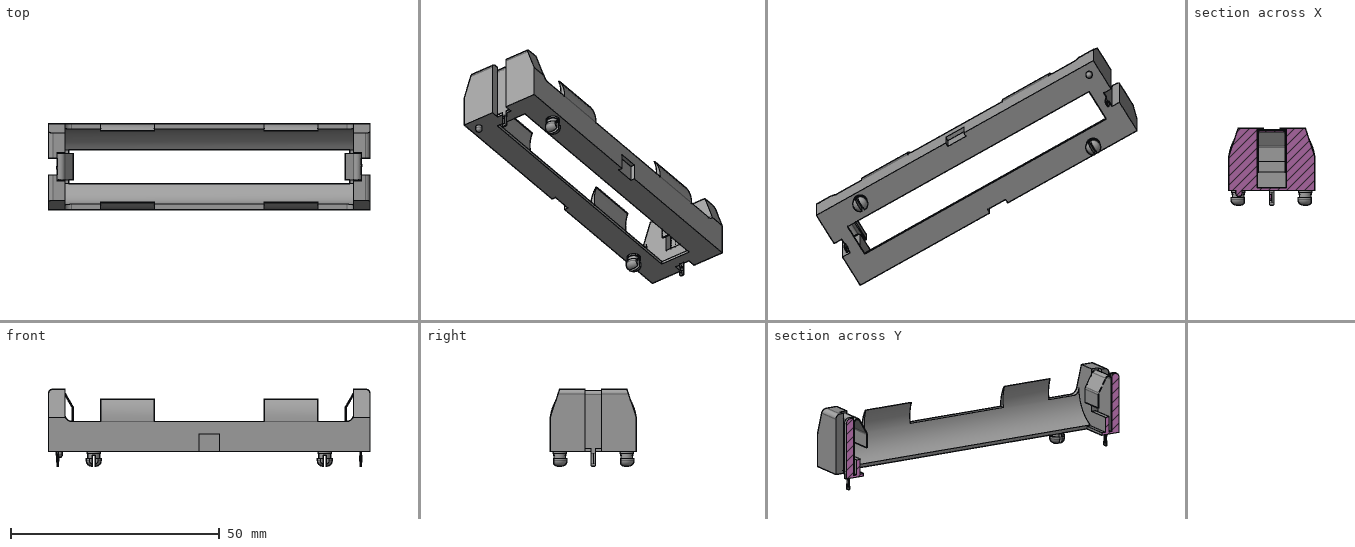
import cadquery as cq
import math


length = 77.05
width = 20.65
height = 14.95
half_length = length / 2
half_width = width / 2
rail_height = 7.25
post_depth = 4.0
post_face = half_length - post_depth
shoulder_height = 8.2
post_top_width = 16.1
post_top_radius = 1.15
rail_fillet = 1.55

cradle_radius = 9.2
cradle_axis_height = 9.1
floor_opening_width = 8.1
bridge_length = 0.9
floor_thickness = 0.7

tab_length = 12.9
tab_offset = 19.6
tab_top = 12.55
tab_outer_radius = 9.55

notch_length = 5.0
notch_height = 4.15
notch_depth = 1.0

slot_width = 3.9
slot_depth = 2.1
pocket_width = 6.85
lip_height = 4.4
lip_thickness = 1.15

peg_x = 27.65
peg_y = 8.0
overall_height = 18.5
peg_bottom = height - overall_height
collar_diameter = 3.3
collar_bottom = -0.5
shaft_diameter = 2.9
head_diameter = 3.6
head_top = -1.6
head_rounding = 1.4
peg_slot_width = 0.7
peg_slot_top = -0.9
nub_diameter = 1.55
nub_straight = 0.7
nub_x = -35.9
nub_y = 7.85

sheet = 0.3
contact_width = 6.3
contact_top = 14.65
roll_radius = 1.0
fold_radius = 0.9
lean = math.radians(30)
leg_reach = 6.0
leg_bottom = 6.9
pin_width = 1.15
pin_corner = 0.2
bow_top = -0.5
bow_bottom = -2.9
bow = 0.15


def box(x_min, x_max, y_min, y_max, z_min, z_max):
    """Box between the given limits."""
    size = (x_max - x_min, y_max - y_min, z_max - z_min)
    return cq.Workplane("XY").box(*size, centered=False).translate((x_min, y_min, z_min))


def both_sides(shape, plane):
    """A shape together with its mirror image."""
    return shape.union(shape.mirror(plane))


def on_circle(center, radius, angle):
    """Point on a circle at an angle from the first sketch axis."""
    return (center[0] + radius * math.cos(angle), center[1] + radius * math.sin(angle))


def shell_block():
    """Low rails joined to two end posts, with leaning post sides and rounded edges."""
    side_profile = (
        cq.Workplane("XZ")
        .moveTo(-half_length, 0)
        .lineTo(half_length, 0)
        .lineTo(half_length, height)
        .lineTo(post_face, height)
        .lineTo(post_face, rail_height)
        .lineTo(-post_face, rail_height)
        .lineTo(-post_face, height)
        .lineTo(-half_length, height)
        .close()
        .extrude(half_width, both=True)
    )
    rail_corners = cq.selectors.BoxSelector(
        (-half_length, -width, rail_height / 2), (half_length, width, shoulder_height)
    )
    block = side_profile.edges("|Y").edges(rail_corners).fillet(rail_fillet)
    block = block.faces(">Z").edges("<X or >X").fillet(post_top_radius)
    end_profile = (
        cq.Workplane("YZ")
        .moveTo(-half_width, 0)
        .lineTo(half_width, 0)
        .lineTo(half_width, shoulder_height)
        .lineTo(post_top_width / 2, height)
        .lineTo(-post_top_width / 2, height)
        .lineTo(-half_width, shoulder_height)
        .close()
        .extrude(half_length, both=True)
    )
    return block.intersect(end_profile)


def tabs():
    """Four curved tabs on the rails; the cradle cut later gives them their inner face."""
    arc_center = (half_width - tab_outer_radius, rail_height)
    tip_angle = math.asin((tab_top - rail_height) / tab_outer_radius)
    tab = (
        cq.Workplane("YZ")
        .moveTo(0, rail_height)
        .lineTo(half_width, rail_height)
        .threePointArc(
            on_circle(arc_center, tab_outer_radius, tip_angle / 2),
            on_circle(arc_center, tab_outer_radius, tip_angle),
        )
        .lineTo(0, tab_top)
        .close()
        .extrude(tab_length / 2, both=True)
        .translate((tab_offset, 0, 0))
    )
    return both_sides(both_sides(tab, "XZ"), "YZ")


def cradle_cutter():
    """Round trough for the cell, and the long opening through the floor."""
    trough = (
        cq.Workplane("YZ")
        .center(0, cradle_axis_height)
        .circle(cradle_radius)
        .extrude(post_face, both=True)
    )
    half_opening = floor_opening_width / 2
    opening = box(-post_face, post_face, -half_opening, half_opening, 0, rail_height)
    return trough.union(opening)


def end_bridges():
    """Strips of flat floor at both ends of the opening."""
    half_opening = floor_opening_width / 2
    bridge = box(post_face - bridge_length, post_face, -half_opening, half_opening, 0, floor_thickness)
    return both_sides(bridge, "YZ")


def contact_seat_cutter():
    """Outer slot, contact pocket behind a low lip, and pin passage, in both posts."""
    seat_face = half_length - slot_depth
    slot = box(seat_face, half_length, -slot_width / 2, slot_width / 2, 0, height)
    half_pocket = pocket_width / 2
    pocket = box(post_face + lip_thickness, seat_face, -half_pocket, half_pocket, floor_thickness, height)
    above_lip = box(post_face, seat_face, -half_pocket, half_pocket, lip_height, height)
    passage = box(seat_face - sheet, seat_face, -pin_width / 2, pin_width / 2, 0, floor_thickness)
    return both_sides(slot.union(pocket).union(above_lip).union(passage), "YZ")


def notch_cutter():
    """Shallow notch at the foot of each long side."""
    notch = box(
        -notch_length / 2, notch_length / 2, -half_width, notch_depth - half_width, 0, notch_height
    )
    return both_sides(notch, "XZ")


def snap_peg(x, y):
    """Collar, shaft and rounded head, split by a slot and flattened on the -Y side."""
    collar = cq.Workplane("XY").circle(collar_diameter / 2).extrude(collar_bottom)
    shaft = cq.Workplane("XY").circle(shaft_diameter / 2).extrude(head_top)
    head = (
        cq.Workplane("XY", origin=(0, 0, head_top))
        .circle(head_diameter / 2)
        .extrude(peg_bottom - head_top)
        .faces("<Z")
        .edges()
        .fillet(head_rounding)
    )
    flat = box(
        -head_diameter, head_diameter, -head_diameter, -shaft_diameter / 2, peg_bottom, head_top
    )
    split = box(
        -peg_slot_width / 2, peg_slot_width / 2, -head_diameter, head_diameter, peg_bottom, peg_slot_top
    )
    return collar.union(shaft).union(head.cut(flat)).cut(split).translate((x, y, 0))


def polarity_nub():
    """Short round-ended nub near one corner."""
    radius = nub_diameter / 2
    stem = cq.Workplane("XY").circle(radius).extrude(-nub_straight)
    tip = cq.Workplane("XY").sphere(radius).translate((0, 0, -nub_straight))
    tip = tip.intersect(box(-radius, radius, -radius, radius, -nub_straight - radius, -nub_straight))
    return stem.union(tip).translate((nub_x, nub_y, 0))


def make_housing():
    """Complete housing as one solid."""
    housing = shell_block().union(tabs()).cut(cradle_cutter()).union(end_bridges())
    housing = housing.cut(contact_seat_cutter()).cut(notch_cutter())
    for x, y in ((-peg_x, -peg_y), (peg_x, peg_y)):
        housing = housing.union(snap_peg(x, y))
    return housing.union(polarity_nub())


def spring_strip(plate_x):
    """Upright plate that rolls over at the top into a leaning spring and an upright leg."""
    leg_x = leg_reach - half_length
    roll = (plate_x + roll_radius, contact_top - roll_radius)
    fold_x = leg_x - fold_radius
    fold_z = roll[1] + (
        roll_radius - fold_radius - math.cos(lean) * (fold_x - roll[0])
    ) / math.sin(lean)
    fold = (fold_x, fold_z)
    roll_mid = (lean + math.pi) / 2
    inner_roll = roll_radius - sheet
    inner_fold = fold_radius - sheet
    return (
        cq.Workplane("XZ")
        .moveTo(plate_x, floor_thickness)
        .lineTo(plate_x, roll[1])
        .threePointArc(on_circle(roll, roll_radius, roll_mid), on_circle(roll, roll_radius, lean))
        .lineTo(*on_circle(fold, fold_radius, lean))
        .threePointArc(on_circle(fold, fold_radius, lean / 2), (leg_x, fold_z))
        .lineTo(leg_x, leg_bottom)
        .lineTo(leg_x - sheet, leg_bottom)
        .lineTo(leg_x - sheet, fold_z)
        .threePointArc(on_circle(fold, inner_fold, lean / 2), on_circle(fold, inner_fold, lean))
        .lineTo(*on_circle(roll, inner_roll, lean))
        .threePointArc(on_circle(roll, inner_roll, roll_mid), (plate_x + sheet, roll[1]))
        .lineTo(plate_x + sheet, floor_thickness)
        .close()
        .extrude(contact_width / 2, both=True)
    )


def bowed_half(plate_x, side):
    """One half of the split pin, on the given side in Y and bowed the same way in X."""
    bow_middle = (bow_top + bow_bottom) / 2
    return (
        cq.Workplane("XZ")
        .moveTo(plate_x, bow_top)
        .threePointArc((plate_x + side * bow, bow_middle), (plate_x, bow_bottom))
        .lineTo(plate_x + sheet, bow_bottom)
        .threePointArc((plate_x + sheet + side * bow, bow_middle), (plate_x + sheet, bow_top))
        .close()
        .extrude(-side * pin_width / 2)
    )


def solder_pin(plate_x):
    """Straight pin whose middle is split lengthwise and bowed to both sides."""
    half_pin = pin_width / 2
    root = box(plate_x, plate_x + sheet, -half_pin, half_pin, bow_top, floor_thickness)
    tip = box(plate_x, plate_x + sheet, -half_pin, half_pin, peg_bottom, bow_bottom)
    tip = tip.faces("<Z").edges("|X").chamfer(pin_corner)
    pin = root.union(tip)
    for side in (-1, 1):
        pin = pin.union(bowed_half(plate_x, side))
    return pin


def make_contact(turn):
    """Contact for the -X post, turned about Z by the given angle in degrees."""
    plate_x = slot_depth - half_length
    contact = spring_strip(plate_x).union(solder_pin(plate_x))
    return contact.rotate((0, 0, 0), (0, 0, 1), turn)


housing = make_housing()
contacts = [make_contact(turn).val() for turn in (0, 180)]
result = cq.Compound.makeCompound([housing.val(), *contacts])